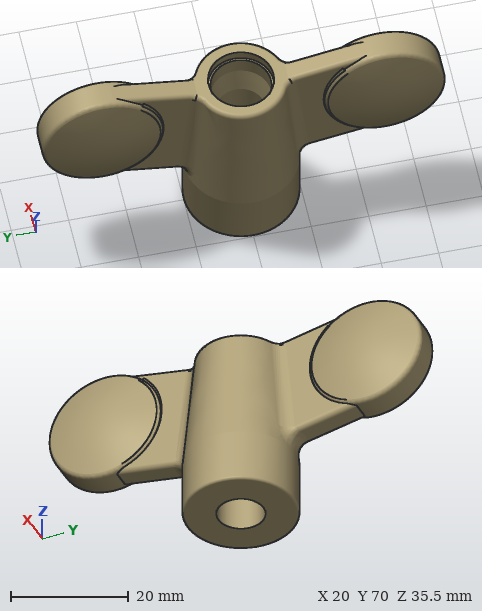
import math

import cadquery as cq

COLLAR_RADIUS = 10.0
COLLAR_HEIGHT = 10.0
HUB_HEIGHT = 32.5
HUB_TOP_RADIUS = 7.85
BASE_FILLET = 0.5
TOP_FILLET = 0.8

BORE_RADIUS = 8.38 / 2
RECESS_RADIUS = 11.25 / 2
RECESS_DEPTH = 1.7
LEAD_RADIUS = 10.4 / 2
LEAD_DEPTH = 4.8
CONE_LENGTH = 4.0

WING_SPAN = 70.0
PAD_RADIUS = 10.5
PAD_TOP = 35.5
PAD_HALF_THICKNESS = 4.55
RIM_HALF_THICKNESS = 2.5
RIM_FILLET = 0.9
BLEND_INNER_RADIUS = 9.95
BLEND_OUTER_RADIUS = 11.05
BLEND_HOLLOW = 0.12

WEB_BOTTOM_THICKNESS = 4.7
WEB_TOP_THICKNESS = 3.8
WEB_EDGE_FILLET = 1.0
WEB_TOP_SLOPE = 10.9
WEB_BOTTOM_SLOPE = 10.0
ROOT_FILLET = 2.5

PAD_Y = WING_SPAN / 2 - PAD_RADIUS
PAD_Z = PAD_TOP - PAD_RADIUS
TAPER = (COLLAR_RADIUS - HUB_TOP_RADIUS) / (HUB_HEIGHT - COLLAR_HEIGHT)
BLANK_TOP = PAD_TOP
BLANK_TOP_RADIUS = COLLAR_RADIUS - TAPER * (BLANK_TOP - COLLAR_HEIGHT)
SIDES = (-1, 1)


def tangent_point(slope_degrees, above):
    """Point (y, z) where a web edge of the given slope touches the +Y pad circle."""
    slope = math.radians(slope_degrees)
    direction = 1 if above else -1
    y = PAD_Y - PAD_RADIUS * math.sin(slope)
    z = PAD_Z + direction * PAD_RADIUS * math.cos(slope)
    return y, z


def make_hub_blank():
    """Collar and over-tall tapered barrel."""
    profile = [
        (0, 0),
        (COLLAR_RADIUS, 0),
        (COLLAR_RADIUS, COLLAR_HEIGHT),
        (BLANK_TOP_RADIUS, BLANK_TOP),
        (0, BLANK_TOP),
    ]
    hub = cq.Workplane("XZ").polyline(profile).close().revolve(360, (0, 0), (0, 1))
    return hub.faces("<Z").edges().fillet(BASE_FILLET)


def make_web_blank(side):
    """One web as an over-tall slab from the hub axis into the pad, its lower edges rounded."""
    tip_y, tip_z = tangent_point(WEB_BOTTOM_SLOPE, False)
    root_z = tip_z - tip_y * math.tan(math.radians(WEB_BOTTOM_SLOPE))
    outline = [(0, root_z), (side * tip_y, tip_z), (side * tip_y, BLANK_TOP), (0, BLANK_TOP)]
    slab = cq.Workplane("YZ").polyline(outline).close().extrude(WEB_BOTTOM_THICKNESS, both=True)
    section = [
        (-WEB_BOTTOM_THICKNESS / 2, root_z),
        (WEB_BOTTOM_THICKNESS / 2, root_z),
        (WEB_TOP_THICKNESS / 2, BLANK_TOP),
        (-WEB_TOP_THICKNESS / 2, BLANK_TOP),
    ]
    slab = slab.intersect(cq.Workplane("XZ").polyline(section).close().extrude(tip_y, both=True))
    lower_edges = cq.selectors.BoxSelector(
        (-WEB_BOTTOM_THICKNESS, side * tip_y / 4, root_z),
        (WEB_BOTTOM_THICKNESS, side * tip_y * 3 / 4, tip_z),
    )
    return slab.edges(lower_edges).fillet(WEB_EDGE_FILLET)


def blend_web_roots(body):
    """Fillet the U-shaped corner where each web runs into the barrel.

    On the cone these corner edges are the only ones near the hub that are neither lines nor circles.
    """
    root_reach = COLLAR_RADIUS + ROOT_FILLET
    roots = [
        edge
        for edge in body.edges().vals()
        if edge.geomType() not in ("LINE", "CIRCLE") and abs(edge.Center().y) < root_reach
    ]
    return body.newObject(roots).fillet(ROOT_FILLET)


def trim_top(body):
    """Cut the hub flat and the webs along their sloping top lines, then round the top edges."""
    tip_y, tip_z = tangent_point(WEB_TOP_SLOPE, True)
    knee_y = tip_y - (tip_z - HUB_HEIGHT) / math.tan(math.radians(WEB_TOP_SLOPE))
    envelope = [
        (-tip_y, 0),
        (-tip_y, tip_z),
        (-knee_y, HUB_HEIGHT),
        (knee_y, HUB_HEIGHT),
        (tip_y, tip_z),
        (tip_y, 0),
    ]
    keep = cq.Workplane("YZ").polyline(envelope).close().extrude(2 * COLLAR_RADIUS, both=True)
    body = body.intersect(keep)
    least_normal_z = math.cos(math.radians(2 * WEB_TOP_SLOPE))
    top_faces = [face for face in body.faces("%PLANE").vals() if face.normalAt().z > least_normal_z]
    return body.newObject(top_faces).edges("not |X").fillet(TOP_FILLET)


def make_pad(side):
    """Biconvex disc with a rounded rim, its axis along X."""
    profile = (
        cq.Workplane("XY")
        .moveTo(-PAD_HALF_THICKNESS, 0)
        .threePointArc(lens_point(-1), (-RIM_HALF_THICKNESS, PAD_RADIUS))
        .lineTo(RIM_HALF_THICKNESS, PAD_RADIUS)
        .threePointArc(lens_point(1), (PAD_HALF_THICKNESS, 0))
        .close()
    )
    disc = profile.revolve(360, (0, 0), (1, 0)).edges("%CIRCLE").fillet(RIM_FILLET)
    return disc.translate((0, side * PAD_Y, PAD_Z))


def lens_rise(radius):
    """Height of the domed pad face above its rim at a distance from the pad axis."""
    full_rise = PAD_HALF_THICKNESS - RIM_HALF_THICKNESS
    dome_radius = (PAD_RADIUS**2 + full_rise**2) / (2 * full_rise)
    return full_rise - dome_radius + math.sqrt(dome_radius**2 - radius**2)


def lens_point(face_sign):
    """Point halfway out along the domed pad face on the given side of the YZ plane."""
    radius = PAD_RADIUS / 2
    return face_sign * (RIM_HALF_THICKNESS + lens_rise(radius)), radius


def make_pad_blend(side):
    """Concave bead easing the inboard rim of a pad into both faces of its web."""
    outer_x = WEB_TOP_THICKNESS / 2
    inner_x = RIM_HALF_THICKNESS + lens_rise(BLEND_INNER_RADIUS)
    chord_x = inner_x - outer_x
    chord_r = BLEND_OUTER_RADIUS - BLEND_INNER_RADIUS
    chord = math.hypot(chord_x, chord_r)
    middle_x = (inner_x + outer_x) / 2 - BLEND_HOLLOW * chord_r / chord
    middle_r = (BLEND_INNER_RADIUS + BLEND_OUTER_RADIUS) / 2 - BLEND_HOLLOW * chord_x / chord
    profile = (
        cq.Workplane("XY")
        .moveTo(-inner_x, BLEND_INNER_RADIUS)
        .threePointArc((-middle_x, middle_r), (-outer_x, BLEND_OUTER_RADIUS))
        .lineTo(outer_x, BLEND_OUTER_RADIUS)
        .threePointArc((middle_x, middle_r), (inner_x, BLEND_INNER_RADIUS))
        .close()
    )
    edge_inset = PAD_RADIUS - WEB_EDGE_FILLET
    half_sweep = 90 - math.degrees(math.acos(edge_inset / BLEND_OUTER_RADIUS))
    web_fall = (WEB_TOP_SLOPE + WEB_BOTTOM_SLOPE) / 2
    bead = profile.revolve(2 * half_sweep, (0, 0), (1, 0))
    inboard_start = 180 + web_fall - half_sweep
    bead = bead.rotate((0, 0, 0), (1, 0, 0), inboard_start)
    if side < 0:
        bead = bead.mirror("XZ")
    return bead.translate((0, side * PAD_Y, PAD_Z))


def make_bore():
    """Through hole opening upward by a cone, a lead cylinder and a shallow recess."""
    profile = [
        (0, 0),
        (BORE_RADIUS, 0),
        (BORE_RADIUS, HUB_HEIGHT - LEAD_DEPTH - CONE_LENGTH),
        (LEAD_RADIUS, HUB_HEIGHT - LEAD_DEPTH),
        (LEAD_RADIUS, HUB_HEIGHT - RECESS_DEPTH),
        (RECESS_RADIUS, HUB_HEIGHT - RECESS_DEPTH),
        (RECESS_RADIUS, HUB_HEIGHT),
        (0, HUB_HEIGHT),
    ]
    return cq.Workplane("XZ").polyline(profile).close().revolve(360, (0, 0), (0, 1))


body = make_hub_blank()
for side in SIDES:
    body = body.union(make_web_blank(side))
body = trim_top(blend_web_roots(body))
for side in SIDES:
    body = body.union(make_pad(side)).union(make_pad_blend(side))
result = body.cut(make_bore())